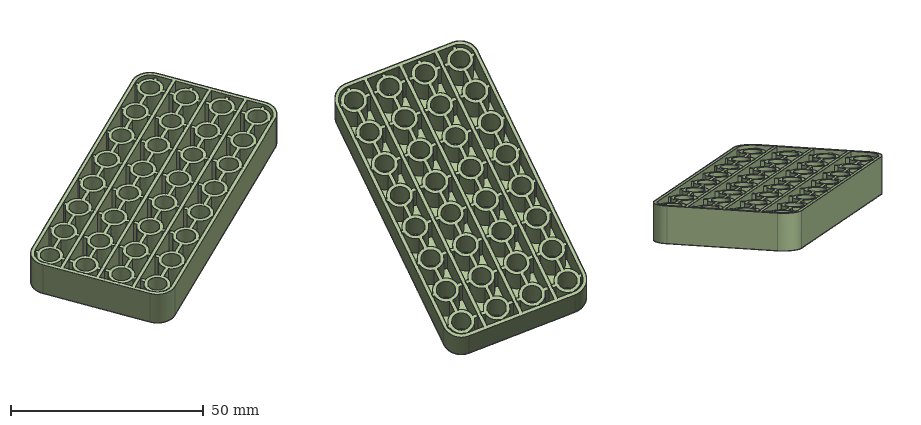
import cadquery as cq

columns = 4
rows = 8
length = 80.0
hole_diameter = 5.0
sleeve_diameter = 7.0
sleeve_drop = 0.8

pitch = length / rows
width = columns * pitch
height = pitch
sleeve_height = height - sleeve_drop
corner_radius = pitch / 2
wall = (sleeve_diameter - hole_diameter) / 2

column_centers = [(i - (columns - 1) / 2) * pitch for i in range(columns)]
row_centers = [(i - (rows - 1) / 2) * pitch for i in range(rows)]
hole_centers = [(x, y) for x in column_centers for y in row_centers]


def rounded_block(inset):
    """Full-height block with rounded corners, inset from the outer outline."""
    return (
        cq.Workplane("XY")
        .rect(width - 2 * inset, length - 2 * inset)
        .extrude(height)
        .edges("|Z")
        .fillet(corner_radius - inset)
    )


def upright_plates(centers, size_x, size_y, plate_height):
    """Equal rectangular plates standing on the bottom plane."""
    return cq.Workplane("XY").pushPoints(centers).rect(size_x, size_y).extrude(plate_height)


def cylinders(diameter, cylinder_height):
    """One cylinder on every hole center, standing on the bottom plane."""
    return cq.Workplane("XY").pushPoints(hole_centers).circle(diameter / 2).extrude(cylinder_height)


def tray():
    """Open-topped box with a thin floor and rounded corners."""
    cavity = rounded_block(wall).translate((0, 0, wall))
    return rounded_block(0).cut(cavity)


def dividers():
    """Lengthwise walls between neighbouring hole columns, flush with the rim."""
    centers = [(x + pitch / 2, 0) for x in column_centers[:-1]]
    return upright_plates(centers, wall, length - wall, height)


def ribs():
    """Lowered ribs along every hole column and every hole row."""
    lengthwise = upright_plates([(x, 0) for x in column_centers], wall, length - wall, sleeve_height)
    crosswise = upright_plates([(0, y) for y in row_centers], width - wall, wall, sleeve_height)
    return lengthwise.union(crosswise)


sleeves = cylinders(sleeve_diameter, sleeve_height)
holes = cylinders(hole_diameter, height)
result = tray().union(dividers()).union(ribs()).union(sleeves).cut(holes)